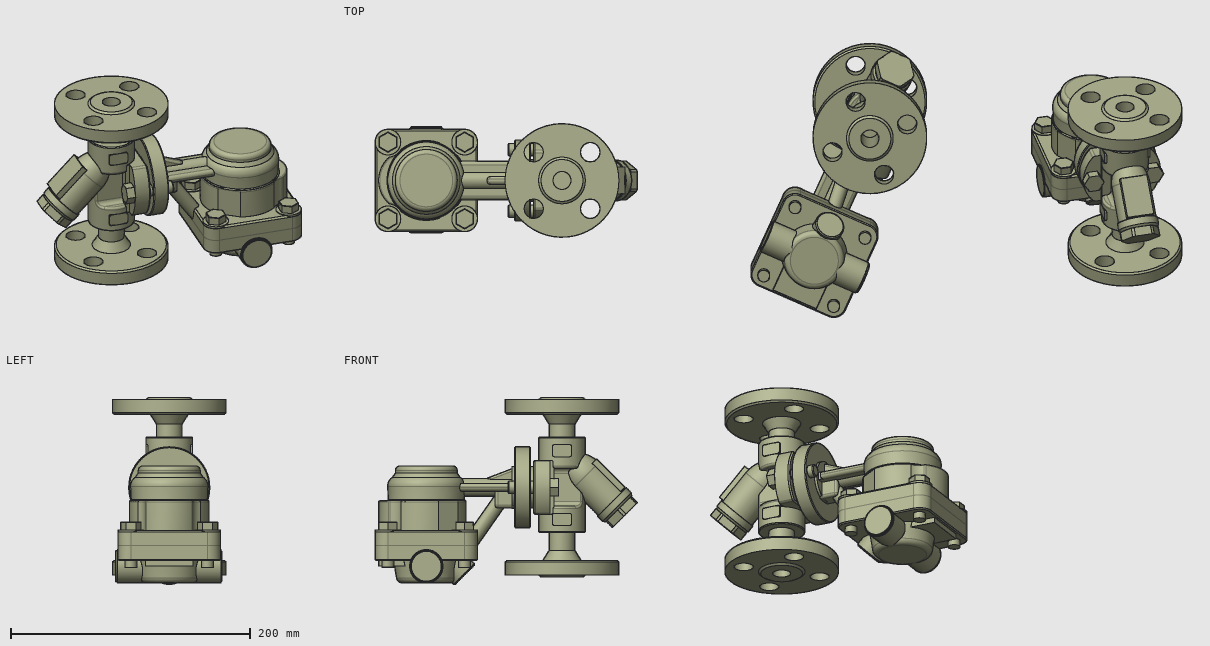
import cadquery as cq
import math


flange_diameter = 95.0
face_to_face = 150.0
face_height = 1.6
face_top_diameter = 35.0
face_base_diameter = 39.0
flange_back = 60.9
flange_chamfer = 1.5
bore_diameter = 15.0
pitch_diameter = 66.7
bolt_hole_diameter = 16.0
bolt_hole_count = 4
first_bolt_hole_angle = 45.0
pipe_diameter = 21.7
hub_diameter = 32.0
hub_height = 8.2
body_diameter = 39.0
body_top = 42.1
body_bottom = -37.7
body_chamfer = 0.8

pad_width = 16.0
pad_height = 10.2
pad_corner = 1.8
pad_face_y = 19.6
pad_levels = (30.6, -26.8)
waist_half_width = 10.3
waist_half_height = 15.6
waist_inner_fillet = 3.9
waist_outer_fillet = 2.0

strainer_end_x = 52.55
strainer_end_z = -23.2
strainer_length = 74.4
strainer_radius = 16.0
strainer_root_radius = 12.2
root_curve_start = 14.0
root_curve_end = 28.0
root_curve_middle = (14.9, 20.5)
collar_radius = 17.0
collar_start = 59.0
collar_end = 65.0
cap_neck_radius = 15.5
cap_head_height = 7.4
cap_across_flats = 29.6
strainer_pad_width = 22.6
strainer_pad_start = 24.5
strainer_pad_end = 58.0
strainer_pad_height = 16.6
cap_corner_radius = 16.4

trap_flange_radius = 33.9
trap_flange_left = -39.5
trap_flange_right = -26.4
trap_flange_chamfer = 0.8
joint_face_radius = 17.5
connector_flange_left = -23.8
connector_flange_right = -10.2
connector_flange_radius = 33.2
connector_flange_half_height = 22.6
connector_flange_chamfer = 1.2
connector_flange_corner = 3.0
arm_plate_left = -41.8
connector_web_right = -6.6
connector_web_half_width = 18.0
connector_web_corner = 3.0
joint_bolt_spacing = 51.4
joint_bolt_diameter = 10.5
joint_bolt_end = -45.0
joint_bolt_chamfer = 0.8
joint_bolt_head_height = 7.1
bolt_head_corners = 17.0

trap_x = -113.3
cover_half_width = 42.8
cover_corner = 10.7
cover_top = -36.0
cover_split = -48.6
cover_bottom = -61.2
cover_chamfer = 1.5
cover_lower_chamfer = 1.0
corner_boss_height = 0.4
trap_bolt_offset = 32.0
trap_bolt_head_height = 6.7
trap_bolt_head_chamfer = 0.4
trap_bolt_diameter = 10.0
trap_bolt_end = -66.9
chamber_radius = 33.4
chamber_top = -11.2
chamber_edge_fillet = 1.0
inlet_bulge_radius = 26.0
inlet_bulge_offset = 13.8
bolt_clearance_radius = 12.5
bolt_clearance_blend = 3.0
chamber_flat_angle = 55.0
chamber_flat_distance = 31.9
dome_foot = 1.0
dome_core_radius = 30.0
dome_base_radius = 31.8
inlet_block_left = -39.8
inlet_block_half_width = 19.8
inlet_block_bottom = -65.8
dome_radius = 32.3
dome_shoulder_z = 0.7
shoulder_swell = 1.0
shoulder_rise = 0.6
dome_neck_z = 8.4
dome_neck_radius = 28.3
dome_band_z = 11.9
dome_crown_radius = 25.9
dome_crown_fillet = 3.9
dome_top = 17.9
bowl_top_radius = 27.3
bowl_low_radius = 24.3
bowl_bottom = -79.8
bowl_fillet = 5.0
plug_z = -65.9
plug_boss_radius = 13.9
plug_boss_half_length = 43.3
plug_front_face = -44.0
plug_rear_face = 45.0
plug_tip_radius = 13.1
plug_tip_chamfer = 0.6

arm_diameter = 15.0
arm_wing_half_width = 16.2
arm_wing_thickness = 6.6
arm_wing_edge = 3.2
arm_wing_end = -44.5
gusset_left = -63.0
gusset_height = 15.6
gusset_thickness = 6.6
gusset_tip_fillet = 3.0
gusset_ridge_fillet = 2.0
return_block_left = -56.0
return_block_bottom = -17.3
return_block_width = 16.0
return_block_fillet = 2.5
return_pipe_diameter = 12.2
return_pipe_angle = 55.0
return_pipe_top = (-51.0, -10.0)
return_pipe_length = 55.0
drain_x = -81.2
drain_z = -73.1
drain_radius = 12.3
drain_length = 18.0
drain_edge_chamfer = 1.0
drain_bottom = -81.07

diagonal = math.sqrt(0.5)
overlap = 1.0


def cylinder(start, direction, radius, length):
    """Cylinder whose axis leaves the start point along the direction."""
    return cq.Workplane(cq.Solid.makeCylinder(radius, length, cq.Vector(*start), cq.Vector(*direction)))


def block(x_range, y_range, z_range):
    """Box between the given limits along each axis."""
    sizes = [limits[1] - limits[0] for limits in (x_range, y_range, z_range)]
    corner = cq.Vector(x_range[0], y_range[0], z_range[0])
    return cq.Workplane(cq.Solid.makeBox(*sizes, corner))


def turned(points):
    """Solid turned about the Z axis from (radius, z) points; it is closed along the axis."""
    return cq.Workplane("XZ").polyline(points).close().revolve(360, (0, 0, 0), (0, 1, 0))


def pipe_flange(body_end):
    """Upper pipe flange with its raised face, weld hub and the pipe down to the body end."""
    face = face_to_face / 2
    rim = flange_diameter / 2
    pipe = pipe_diameter / 2
    hub = hub_diameter / 2
    flange = turned([
        (0, body_end - overlap),
        (pipe, body_end - overlap),
        (pipe, flange_back - hub_height),
        (hub, flange_back),
        (rim - flange_chamfer, flange_back),
        (rim, flange_back + flange_chamfer),
        (rim, face - face_height),
        (face_base_diameter / 2, face - face_height),
        (face_top_diameter / 2, face),
        (0, face),
    ])
    holes = (
        cq.Workplane("XY", origin=(0, 0, flange_back))
        .polarArray(pitch_diameter / 2, first_bolt_hole_angle, 360, bolt_hole_count)
        .circle(bolt_hole_diameter / 2)
        .extrude(face - flange_back)
    )
    bore = cylinder((0, 0, body_end), (0, 0, 1), bore_diameter / 2, face - body_end)
    return flange.cut(holes).cut(bore)


def connector_body():
    """Vertical cylinder, waisted on both sides, with two raised flat pads on each side."""
    radius = body_diameter / 2
    body = cylinder((0, 0, body_bottom), (0, 0, 1), radius, body_top - body_bottom)
    body = body.faces("<Z or >Z").chamfer(body_chamfer)
    for side in (-1, 1):
        waist = block(
            (-radius, radius),
            sorted((side * waist_half_width, side * (radius + overlap))),
            (-waist_half_height, waist_half_height),
        )
        inner_side = "<Y" if side > 0 else ">Y"
        waist = waist.faces(inner_side).edges("|X").fillet(waist_inner_fillet)
        body = body.cut(waist)
    shoulder_rims = cq.selectors.BoxSelector(
        (-radius, -radius, -waist_half_height - 0.1), (radius, radius, waist_half_height + 0.1)
    )
    body = body.edges(shoulder_rims).edges("%CIRCLE").edges(">Z or <Z").fillet(waist_outer_fillet)
    for level in pad_levels:
        pads = (
            cq.Workplane("XY", origin=(0, 0, level))
            .box(pad_width, 2 * pad_face_y, pad_height)
            .edges("|Y")
            .fillet(pad_corner)
        )
        opening = block(
            (-pad_width, pad_width),
            (-waist_half_width, waist_half_width),
            (level - pad_height, level + pad_height),
        )
        body = body.union(pads.cut(opening))
    return body


def strainer():
    """Strainer branch with a flat pad on its upper side, a collar and a hexagonal cap."""
    start = (
        strainer_end_x - strainer_length * diagonal,
        0,
        strainer_end_z + strainer_length * diagonal,
    )
    head_start = strainer_length - cap_head_height
    branch = (
        cq.Workplane("XZ")
        .lineTo(strainer_root_radius, 0)
        .lineTo(strainer_root_radius, root_curve_start)
        .threePointArc(root_curve_middle, (strainer_radius, root_curve_end))
        .lineTo(strainer_radius, collar_start)
        .lineTo(collar_radius, collar_start)
        .lineTo(collar_radius, collar_end)
        .lineTo(cap_neck_radius, head_start)
        .lineTo(0, head_start)
        .close()
        .revolve(360, (0, 0, 0), (0, 1, 0))
    )
    pad = block(
        (0, strainer_pad_height),
        (-strainer_pad_width / 2, strainer_pad_width / 2),
        (strainer_pad_start, strainer_pad_end),
    )
    corners = cap_across_flats / math.cos(math.pi / 6)
    head = (
        cq.Workplane("XY", origin=(0, 0, head_start))
        .polygon(6, corners)
        .extrude(cap_head_height)
        .rotate((0, 0, 0), (0, 0, 1), 90)
    )
    head = head.intersect(cylinder((0, 0, head_start), (0, 0, 1), cap_corner_radius, cap_head_height))
    branch = branch.union(pad).union(head)
    branch = branch.rotate((0, 0, 0), (0, 0, 1), 180).rotate((0, 0, 0), (0, 1, 0), 135)
    return branch.translate(start)


def joint_flanges():
    """Round trap flange and flat-sided connector flange, with the joint faces between them."""
    trap_side = cylinder(
        (trap_flange_left, 0, 0), (1, 0, 0), trap_flange_radius, trap_flange_right - trap_flange_left
    )
    trap_side = trap_side.faces("<X or >X").chamfer(trap_flange_chamfer)
    joint_length = connector_flange_right - arm_plate_left
    joint_face = cylinder((arm_plate_left, 0, 0), (1, 0, 0), joint_face_radius, joint_length)
    width = connector_flange_right - connector_flange_left
    half_height = connector_flange_half_height
    connector_side = cylinder((connector_flange_left, 0, 0), (1, 0, 0), connector_flange_radius, width)
    envelope = block(
        (connector_flange_left, connector_flange_right),
        (-connector_flange_radius, connector_flange_radius),
        (-half_height, half_height),
    )
    connector_side = connector_side.intersect(envelope).edges("|X").edges("<Z or >Z")
    connector_side = connector_side.fillet(connector_flange_corner)
    connector_side = connector_side.faces("<X").chamfer(connector_flange_chamfer)
    web = block(
        (connector_flange_left + connector_flange_chamfer, connector_web_right),
        (-connector_web_half_width, connector_web_half_width),
        (-half_height, half_height),
    )
    web = web.edges("|Y and >X").fillet(connector_web_corner)
    return trap_side.union(joint_face).union(connector_side).union(web)


def joint_bolt(y):
    """Joint bolt through both flanges, its hexagonal head against the connector flange."""
    shank_length = connector_flange_right - joint_bolt_end
    shank = cylinder((joint_bolt_end, y, 0), (1, 0, 0), joint_bolt_diameter / 2, shank_length)
    shank = shank.faces("<X").chamfer(joint_bolt_chamfer)
    head = (
        cq.Workplane("YZ", origin=(connector_flange_right, y, 0))
        .polygon(6, bolt_head_corners)
        .extrude(joint_bolt_head_height)
    )
    return shank.union(head)


def trap_cover():
    """Square cover and bowl flange, with round corner bosses, four bolts and the split line."""
    width = 2 * cover_half_width
    upper = (
        cq.Workplane("XY", origin=(0, 0, cover_split))
        .rect(width, width)
        .extrude(cover_top - cover_split)
        .edges("|Z")
        .fillet(cover_corner)
        .faces(">Z")
        .chamfer(cover_chamfer)
    )
    lower = (
        cq.Workplane("XY", origin=(0, 0, cover_bottom))
        .rect(width, width)
        .extrude(cover_split - cover_bottom)
        .edges("|Z")
        .fillet(cover_corner)
        .faces("<Z")
        .chamfer(cover_lower_chamfer)
    )
    boss_top = cover_top + corner_boss_height
    for x in (-trap_bolt_offset, trap_bolt_offset):
        for y in (-trap_bolt_offset, trap_bolt_offset):
            boss = cylinder((x, y, cover_split), (0, 0, 1), cover_corner, boss_top - cover_split)
            head = (
                cq.Workplane("XY", origin=(x, y, boss_top))
                .polygon(6, bolt_head_corners)
                .extrude(trap_bolt_head_height)
                .rotate((x, y, 0), (x, y, 1), 90)
                .faces(">Z")
                .chamfer(trap_bolt_head_chamfer)
            )
            shank_length = cover_bottom - trap_bolt_end
            shank = cylinder((x, y, trap_bolt_end), (0, 0, 1), trap_bolt_diameter / 2, shank_length)
            upper = upper.union(boss).union(head)
            lower = lower.union(shank)
    return upper.union(lower, clean=False)


def trap_chamber():
    """Float chamber with its inlet bulge, and the stepped dome on top of it."""
    height = chamber_top - cover_top
    chamber = cylinder((0, 0, cover_top), (0, 0, 1), chamber_radius, height)
    bulge_centre = (-inlet_bulge_offset, 0, cover_top)
    chamber = chamber.union(cylinder(bulge_centre, (0, 0, 1), inlet_bulge_radius, height))
    for side in (-1, 1):
        bolt_centre = (-trap_bolt_offset, side * trap_bolt_offset, cover_top)
        chamber = chamber.cut(cylinder(bolt_centre, (0, 0, 1), bolt_clearance_radius, height))
        flat = block(
            (chamber_flat_distance, chamber_radius + overlap),
            (-chamber_radius, chamber_radius),
            (cover_top, chamber_top),
        )
        chamber = chamber.cut(flat.rotate((0, 0, 0), (0, 0, 1), side * chamber_flat_angle))
    chamber = chamber.edges("|Z").edges("<X").fillet(bolt_clearance_blend)
    chamber = chamber.faces(">Z").edges().fillet(chamber_edge_fillet)
    shoulder_height = dome_neck_z - dome_shoulder_z
    shoulder_bulge = (
        (dome_radius + dome_neck_radius) / 2 + shoulder_swell,
        dome_shoulder_z + shoulder_height / 2 + shoulder_rise,
    )
    dome = (
        cq.Workplane("XZ")
        .moveTo(0, cover_top)
        .lineTo(dome_core_radius, cover_top)
        .lineTo(dome_core_radius, chamber_top)
        .lineTo(dome_base_radius + dome_foot, chamber_top)
        .lineTo(dome_base_radius, chamber_top + dome_foot)
        .lineTo(dome_radius, dome_shoulder_z)
        .threePointArc(shoulder_bulge, (dome_neck_radius, dome_neck_z))
        .lineTo(dome_crown_radius, dome_band_z)
        .lineTo(dome_crown_radius, dome_top - dome_crown_fillet)
        .radiusArc((dome_crown_radius - dome_crown_fillet, dome_top), -dome_crown_fillet)
        .lineTo(0, dome_top)
        .close()
        .revolve(360, (0, 0, 0), (0, 1, 0))
    )
    return chamber.union(dome)


def trap_bowl():
    """Lower bowl with the two opposed plug bosses along Y."""
    bowl = turned([
        (0, cover_split),
        (bowl_top_radius, cover_split),
        (bowl_top_radius, cover_bottom),
        (bowl_low_radius, bowl_bottom),
        (0, bowl_bottom),
    ])
    bowl = bowl.faces("<Z").edges().fillet(bowl_fillet)
    inlet = block(
        (inlet_block_left, 0),
        (-inlet_block_half_width, inlet_block_half_width),
        (inlet_block_bottom, cover_bottom),
    )
    boss_start = (0, -plug_boss_half_length, plug_z)
    tip_start = (0, plug_front_face, plug_z)
    boss = cylinder(boss_start, (0, 1, 0), plug_boss_radius, 2 * plug_boss_half_length)
    tip = cylinder(tip_start, (0, 1, 0), plug_tip_radius, plug_rear_face - plug_front_face)
    tip = tip.faces("<Y or >Y").chamfer(plug_tip_chamfer)
    return bowl.union(inlet).union(boss).union(tip)


def arm():
    """Horizontal arm: round tube, side wings and the gusset rising to the trap flange."""
    tube = cylinder((trap_x, 0, 0), (1, 0, 0), arm_diameter / 2, trap_flange_left - trap_x)
    half = arm_wing_thickness / 2
    wings = block((trap_x, arm_wing_end), (-arm_wing_half_width, arm_wing_half_width), (-half, half))
    wings = wings.edges("|X").fillet(arm_wing_edge)
    wing_roots = block(
        (arm_wing_end - overlap, trap_flange_left),
        (-joint_face_radius + half, joint_face_radius - half),
        (-half, half),
    )
    gusset = (
        cq.Workplane("XZ", origin=(0, gusset_thickness / 2, 0))
        .polyline([
            (gusset_left, 0),
            (gusset_left, arm_diameter / 2),
            (arm_plate_left, gusset_height),
            (arm_plate_left, 0),
        ])
        .close()
        .extrude(gusset_thickness)
        .edges("<X and |Z")
        .fillet(gusset_tip_fillet)
        .faces(">(-0.4, 0, 1)")
        .edges("not |Y")
        .fillet(gusset_ridge_fillet)
    )
    return tube.union(wings).union(wing_roots).union(gusset)


def return_line():
    """Block under the arm and the oblique pipe running down to the bowl."""
    block_half = return_block_width / 2
    junction = block(
        (return_block_left, trap_flange_left), (-block_half, block_half), (return_block_bottom, 0)
    )
    junction = junction.edges("<X or (<Z and |X)").fillet(return_block_fillet)
    angle = math.radians(return_pipe_angle)
    top = (return_pipe_top[0], 0, return_pipe_top[1])
    direction = (-math.cos(angle), 0, -math.sin(angle))
    return junction.union(cylinder(top, direction, return_pipe_diameter / 2, return_pipe_length))


def drain_boss():
    """Boss on the bowl facing down and to +X at 45 degrees, trimmed flat underneath."""
    reach = drain_length * diagonal
    boss = cylinder((drain_x - reach, 0, drain_z + reach), (1, 0, -1), drain_radius, drain_length)
    boss = boss.faces(">(1, 0, -1)").chamfer(drain_edge_chamfer)
    trim = block(
        (trap_x, 0), (-drain_radius, drain_radius), (drain_bottom - drain_radius, drain_bottom)
    )
    return boss.cut(trim)


connector = connector_body().union(strainer()).union(joint_flanges())
connector = connector.union(pipe_flange(body_top))
connector = connector.union(pipe_flange(-body_bottom).rotate((0, 0, 0), (1, 0, 0), 180))
for bolt_y in (-joint_bolt_spacing / 2, joint_bolt_spacing / 2):
    connector = connector.union(joint_bolt(bolt_y))

trap = trap_chamber().union(trap_bowl()).translate((trap_x, 0, 0))
trap = trap.union(trap_cover().translate((trap_x, 0, 0)), clean=False)

result = connector
for piece in (trap, arm(), return_line(), drain_boss()):
    result = result.union(piece, clean=False)